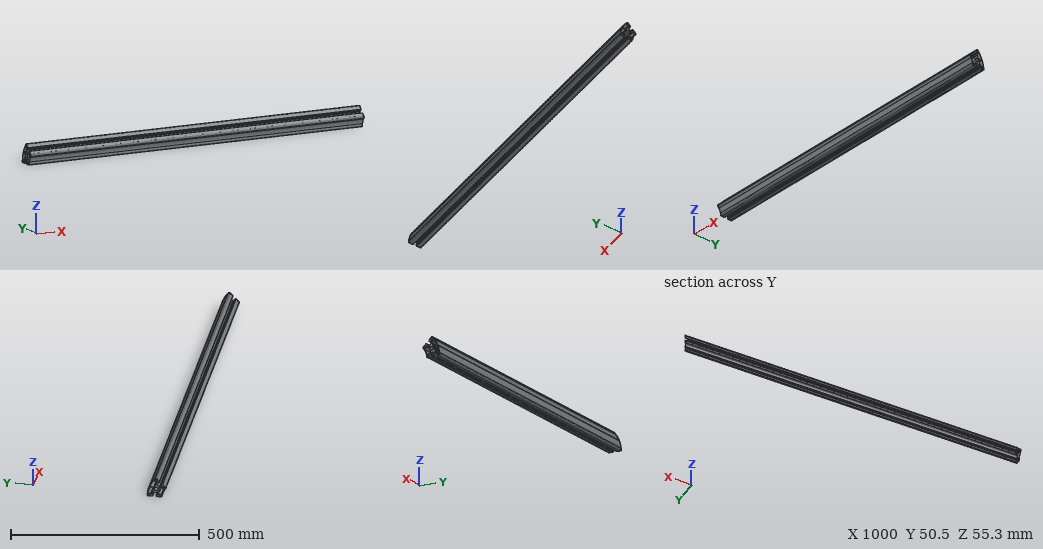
import cadquery as cq
import math

length = 1000.0
sector_angle = 45.0
inner_radius = 40.0
outer_radius = 80.0
corner_radius = 3.0
wall = 1.5

slot_radius = (inner_radius + outer_radius) / 2
mouth_half_width = 4.5
lip_thickness = 6.0
mouth_chamfer = 1.5
slot_half_width = 10.0
slot_side_depth = 7.5
slot_depth = 12.0
floor_half_width = slot_half_width - (slot_depth - slot_side_depth)

core_inner_reach = 6.0
core_outer_reach = 8.0
core_width = 12.0
bore_radius = 5.0
beam_half_width = 6.5

corner_block_depth = 9.0
channel_radius = 3.0
channel_inset = 5.0

axis_angle = math.radians(sector_angle / 2)
core_y = slot_radius * math.cos(axis_angle)
core_z = slot_radius * math.sin(axis_angle)


def polar(radius, degrees):
    angle = math.radians(degrees)
    return radius * math.cos(angle), radius * math.sin(angle)


def section():
    return cq.Workplane("YZ")


def with_mirror(body):
    """Join a body on the lower face to its reflection on the sloping face."""
    normal = cq.Vector(0, -math.sin(axis_angle), math.cos(axis_angle))
    return body.union(body.mirror(normal, (0, 0, 0)))


def ring_sector(small_radius, large_radius):
    return (
        section()
        .moveTo(small_radius, 0)
        .lineTo(large_radius, 0)
        .threePointArc(polar(large_radius, sector_angle / 2), polar(large_radius, sector_angle))
        .lineTo(*polar(small_radius, sector_angle))
        .threePointArc(polar(small_radius, sector_angle / 2), (small_radius, 0))
        .close()
        .extrude(length)
    )


def symmetric_prism(half_profile):
    """Prism from (half width, depth) pairs listed from the face inwards."""
    right = [(slot_radius + half, depth) for half, depth in half_profile]
    left = [(slot_radius - half, depth) for half, depth in reversed(half_profile)]
    return section().polyline(right + left).close().extrude(length)


def t_slots():
    return with_mirror(symmetric_prism([
        (mouth_half_width + mouth_chamfer, 0),
        (mouth_half_width, mouth_chamfer),
        (mouth_half_width, lip_thickness),
        (slot_half_width, lip_thickness),
        (slot_half_width, slot_side_depth),
        (floor_half_width, slot_depth),
    ]))


def slot_walls():
    return with_mirror(symmetric_prism([
        (slot_half_width + wall, 0),
        (slot_half_width + wall, slot_side_depth),
        (floor_half_width + wall, slot_depth + wall),
    ]))


def corner_blocks():
    return with_mirror(section().rect(outer_radius, corner_block_depth, centered=False).extrude(length))


def core():
    hub = (
        section()
        .transformed(rotate=(0, 0, sector_angle / 2))
        .center(slot_radius - core_inner_reach, 0)
        .rect(core_inner_reach + core_outer_reach, core_width, centered=(False, True))
        .extrude(length)
    )
    beam = (
        section()
        .polyline([
            (slot_radius - floor_half_width - wall, slot_depth),
            (slot_radius + floor_half_width + wall, slot_depth),
            (core_y + beam_half_width, core_z),
            (core_y - beam_half_width, core_z),
        ])
        .close()
        .extrude(length)
    )
    return hub.union(with_mirror(beam))


def outer_web():
    """Web on the mirror line, from the core to the outer wall."""
    return (
        section()
        .transformed(rotate=(0, 0, sector_angle / 2))
        .center(slot_radius, 0)
        .rect(outer_radius - slot_radius, wall, centered=(False, True))
        .extrude(length)
    )


def chambers():
    space = ring_sector(inner_radius + wall, outer_radius - wall)
    for solid_area in (corner_blocks(), slot_walls(), core(), outer_web()):
        space = space.cut(solid_area)
    return space


def bore():
    return section().center(core_y, core_z).circle(bore_radius).extrude(length)


def corner_channels():
    centres = [
        (inner_radius + channel_inset, channel_inset),
        (outer_radius - channel_inset, channel_inset),
    ]
    return with_mirror(section().pushPoints(centres).circle(channel_radius).extrude(length))


result = ring_sector(inner_radius, outer_radius).edges("|X").fillet(corner_radius)
for hollow in (chambers(), t_slots(), bore(), corner_channels()):
    result = result.cut(hollow)